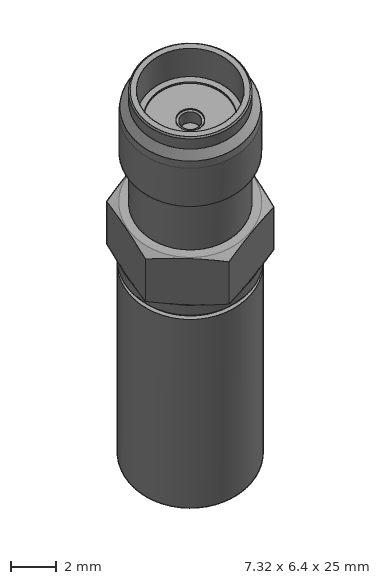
import cadquery as cq

total_height = 25.0
body_top = 13.05
collar_bottom = 13.35
hex_bottom = 14.02
hex_top = 17.25
head_bottom = 20.5
head_chamfer_top = 20.78
shoulder_start = 23.42
shoulder_break = 23.85
shoulder_end = 24.22

body_radius = 3.2
groove_radius = 3.0
barrel_radius = 2.7
head_radius = 3.12
shoulder_radius = 3.08

hex_corner_diameter = 7.32
hex_corner_drop = 0.15
hex_chamfer_radius = 3.12

bore_radius = 2.35
bore_depth = 1.95
rim_bevel = 0.08
recess_radius = 2.05
recess_depth = 0.1
contact_radius = 0.62
contact_setback = 0.08
contact_hole_radius = 0.5
contact_hole_depth = 0.75


def revolve_profile(points):
    """Revolve a closed (radius, height) outline about the Z axis."""
    return cq.Workplane("XZ").polyline(points).close().revolve(360, (0, 0), (0, 1))


def make_turned_body():
    """Body sleeve, groove, collar, barrel and chamfered head."""
    return revolve_profile([
        (0, 0),
        (body_radius, 0),
        (body_radius, body_top),
        (groove_radius, body_top),
        (body_radius, collar_bottom),
        (body_radius, hex_bottom),
        (barrel_radius, hex_bottom),
        (barrel_radius, head_bottom),
        (head_radius, head_chamfer_top),
        (head_radius, shoulder_start),
        (shoulder_radius, shoulder_break),
        (barrel_radius, shoulder_end),
        (barrel_radius, total_height - rim_bevel),
        (barrel_radius - rim_bevel, total_height),
        (0, total_height),
    ])


def make_nut():
    """Hexagonal prism with both ends trimmed by a conical chamfer."""
    corner_radius = hex_corner_diameter / 2
    prism = (
        cq.Workplane("XY", origin=(0, 0, hex_bottom))
        .polygon(6, hex_corner_diameter)
        .extrude(hex_top - hex_bottom)
    )
    chamfer_envelope = revolve_profile([
        (0, hex_bottom),
        (hex_chamfer_radius, hex_bottom),
        (corner_radius, hex_bottom + hex_corner_drop),
        (corner_radius, hex_top - hex_corner_drop),
        (hex_chamfer_radius, hex_top),
        (0, hex_top),
    ])
    return prism.intersect(chamfer_envelope)


def make_socket():
    """Stepped bore with a recessed floor."""
    floor = total_height - bore_depth
    return revolve_profile([
        (0, floor - recess_depth),
        (recess_radius, floor - recess_depth),
        (recess_radius, floor),
        (bore_radius, floor),
        (bore_radius, total_height),
        (0, total_height),
    ])


def make_contact_hole():
    """Stepped hole: an opening in the insulator, then the bore of the contact inside it."""
    recess_floor = total_height - bore_depth - recess_depth
    contact_top = recess_floor - contact_setback
    return revolve_profile([
        (0, contact_top - contact_hole_depth),
        (contact_hole_radius, contact_top - contact_hole_depth),
        (contact_hole_radius, contact_top),
        (contact_radius, contact_top),
        (contact_radius, recess_floor),
        (0, recess_floor),
    ])


connector = make_turned_body().union(make_nut())
result = connector.cut(make_socket()).cut(make_contact_hole())